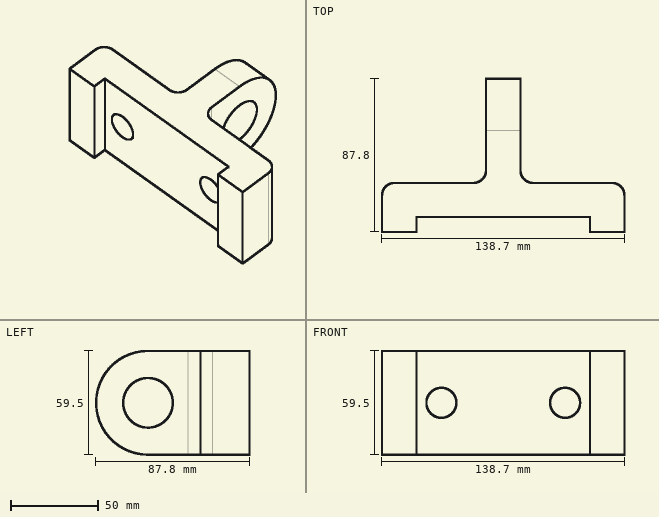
import cadquery as cq

length = 138.7
depth = 87.8
height = 59.5

base_depth = 28.2
foot_width = 19.8
foot_depth = 8.6
corner_radius = 7.1

lug_thickness = 19.8
lug_radius = height / 2
lug_center_y = depth - lug_radius
lug_hole_diameter = 28.3

mount_hole_diameter = 17.0
mount_hole_spacing = 70.7


def box(x_size, y_size, y_start):
    """Full-height block centred on X and Z, starting at y_start."""
    return cq.Workplane("XY").box(x_size, y_size, height).translate((0, y_start + y_size / 2, 0))


base = box(length, base_depth, 0)
channel = box(length - 2 * foot_width, foot_depth, 0)
lug = box(lug_thickness, lug_center_y - base_depth, base_depth)
body = base.union(lug)
rounded_edges = cq.selectors.BoxSelector(
    (-length, base_depth - corner_radius, -height),
    (length, base_depth + corner_radius, height),
)
body = body.edges("|Z").edges(rounded_edges).fillet(corner_radius)
body = body.cut(channel)

lug_axis = cq.Workplane("YZ", origin=(-lug_thickness / 2, 0, 0)).center(lug_center_y, 0)
lug_end = lug_axis.circle(lug_radius).extrude(lug_thickness)
lug_hole = lug_axis.circle(lug_hole_diameter / 2).extrude(lug_thickness)
body = body.union(lug_end).cut(lug_hole)

mount_holes = (
    cq.Workplane("XZ")
    .pushPoints([(side * mount_hole_spacing / 2, 0) for side in (-1, 1)])
    .circle(mount_hole_diameter / 2)
    .extrude(-base_depth)
)

result = body.cut(mount_holes)